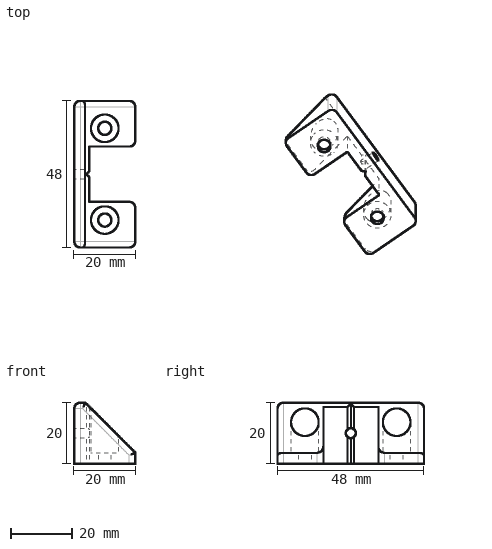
import cadquery as cq

depth = 20.0
length = 48.0
height = 20.0
edge_size = 3.6
round_radius = 2.0

slot_width = 18.0
back_wall = 5.0
notch_depth = 1.0
notch_width = 2.0

screw_spacing = 30.0
screw_x = depth / 2
screw_diameter = 4.2
counterbore_diameter = 9.0
counterbore_floor = edge_size
wall_hole_diameter = 3.2


def wedge():
    """Sloped block with rounded back, top and end edges and a plain base."""
    body = (
        cq.Workplane("XZ")
        .moveTo(0, 0)
        .lineTo(depth, 0)
        .lineTo(depth, edge_size)
        .lineTo(edge_size, height)
        .lineTo(0, height)
        .close()
        .extrude(length / 2, both=True)
    )
    end_edges = body.faces("<Y or >Y").edges("not <Z")
    top_back_edge = body.faces("<X").edges(">Z")
    return body.newObject(end_edges.vals() + top_back_edge.vals()).fillet(round_radius)


def slot():
    """Cutter for the open slot, flaring out to rounded foot corners."""
    half_width = slot_width / 2
    round_start = depth - round_radius
    round_centre = half_width + round_radius
    diagonal = round_radius * 0.5**0.5
    half_notch = notch_width / 2
    return (
        cq.Workplane("XY")
        .moveTo(back_wall, -half_width)
        .lineTo(round_start, -half_width)
        .threePointArc(
            (round_start + diagonal, -round_centre + diagonal),
            (depth, -round_centre),
        )
        .lineTo(depth, round_centre)
        .threePointArc(
            (round_start + diagonal, round_centre - diagonal),
            (round_start, half_width),
        )
        .lineTo(back_wall, half_width)
        .lineTo(back_wall, half_notch)
        .lineTo(back_wall - notch_depth, 0)
        .lineTo(back_wall, -half_notch)
        .close()
        .extrude(height)
    )


def screw_hole(y):
    """Cutter for a vertical screw hole, counterbored through the slope."""
    hole = cq.Workplane("XY").center(screw_x, y).circle(screw_diameter / 2).extrude(height)
    counterbore = (
        cq.Workplane("XY", origin=(screw_x, y, counterbore_floor))
        .circle(counterbore_diameter / 2)
        .extrude(height)
    )
    return hole.union(counterbore)


wall_hole = (
    cq.Workplane("YZ")
    .center(0, height / 2)
    .circle(wall_hole_diameter / 2)
    .extrude(depth)
)

result = wedge().cut(slot()).cut(wall_hole)
for side in (-1, 1):
    result = result.cut(screw_hole(side * screw_spacing / 2))